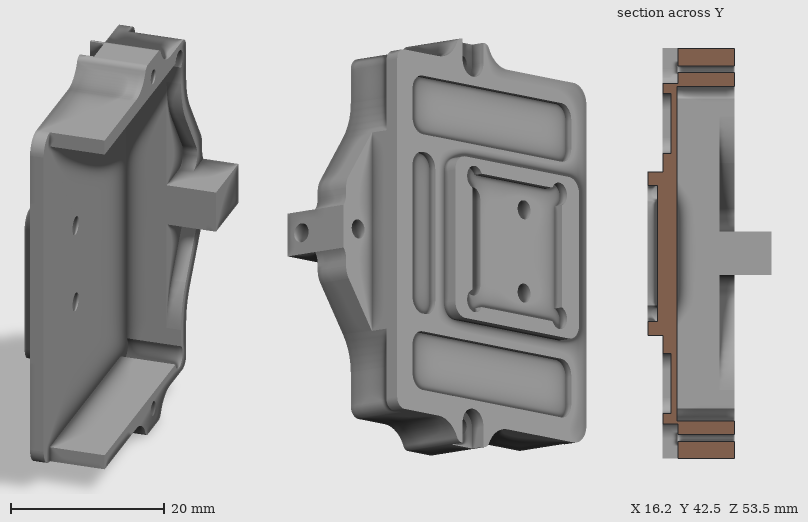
import cadquery as cq
import math


PAD_FRONT = 0
PLATE_FRONT = 2.0
PLATE_BACK = 3.85
TAB_FRONT = 6.4
POCKET_FLOOR = 9.4
BODY_BACK = 11.4
LEG_BACK = 16.2

PLATE_Y_MIN = -22.15
PLATE_Y_MAX = 14.8
PLATE_HALF_Z = 23.8
PLATE_RADIUS_OPEN = 2.5
PLATE_RADIUS_TAB = 1.4

SIDE_WALL = 2.05
END_WALL_OUTER = 13.4
END_WALL = 2.1
END_WALL_INNER = END_WALL_OUTER - END_WALL
WALL_Y_MIN = PLATE_Y_MIN + PLATE_RADIUS_OPEN
CAVITY_HALF_Z = PLATE_HALF_Z - SIDE_WALL
WALL_FILLET = 1.5
CORNER_RELIEF = 3.0
CORNER_RELIEF_INSET_Y = 0.8
CORNER_RELIEF_INSET_Z = 0.3

LUG_TOP = 26.75
LUG_HALF_FLAT = 2.2
LUG_CROWN_RADIUS = 1.0
LUG_FLANK_RADIUS = 4.0
LUG_HOLE_Z = 24.0
LUG_HOLE = 2.0
LUG_SEAT_WIDTH = 4.05
LUG_SEAT_DEPTH = 2.0

FLARE_Z = 17.8
FLARE_RADIUS = 8.3
TAPER_ANGLE = math.radians(35.5)
TAB_Y = 19.85
TAB_CORNER_RADIUS = 2.8
TIP_Y = 20.35
TIP_BLEND_Z = 4.3
LEG_HALF_Z = 2.85
POCKET_FILLET = 1.5
TAB_HOLE = 2.5
TAB_HOLE_Y = 17.5
CROSS_HOLE_DEPTH = 4.8

PAD_Y_MIN = -18.5
PAD_Y_MAX = 5.65
PAD_HALF_Z = 10.7
PAD_RADIUS = 2.0
RECESS_Y_MIN = -15.15
RECESS_Y_MAX = 2.35
RECESS_HALF_Z = 8.85
RECESS_DEPTH = 1.3
RECESS_RELIEF = 3.0
RECESS_RELIEF_INSET_Y = 0.5
RECESS_RELIEF_INSET_Z = 0.65
SLOT_HALF_Z = 7.15
SLOT_WIDTH = 3.0
SLOT_BACK = 3.2
PAD_HOLE = 2.5
PAD_HOLE_Y = -9.2
PAD_HOLE_Z = 5.5

POCKET_DEPTH = 1.0
POCKET_RADIUS = 2.0
POCKET_Y_MIN = -19.2
POCKET_Y_MAX = 11.8
SIDE_POCKET_Y_MIN = 7.4
LONG_POCKET_Z_MIN = 13.05
LONG_POCKET_Z_MAX = 20.8


def block(x_min, x_max, y_min, y_max, z_min, z_max):
    """Box given by its limits along the three axes."""
    box = cq.Workplane().box(x_max - x_min, y_max - y_min, z_max - z_min, centered=False)
    return box.translate((x_min, y_min, z_min))


def rod(diameter, x_min, x_max, y, z):
    """Cylinder along X."""
    return cq.Workplane("YZ", origin=(x_min, y, z)).circle(diameter / 2).extrude(x_max - x_min)


def both_sides(shape):
    """The shape together with its mirror image across Z = 0."""
    return shape.union(shape.mirror("XY"))


def plate():
    slab = block(PLATE_FRONT, PLATE_BACK, PLATE_Y_MIN, PLATE_Y_MAX, -PLATE_HALF_Z, PLATE_HALF_Z)
    slab = slab.edges("|X and <Y").fillet(PLATE_RADIUS_OPEN)
    return slab.edges("|X and >Y").fillet(PLATE_RADIUS_TAB)


def side_walls():
    wall = block(PLATE_BACK, BODY_BACK, WALL_Y_MIN, END_WALL_OUTER, CAVITY_HALF_Z, PLATE_HALF_Z)
    return both_sides(wall.edges("|X and >Y and >Z").fillet(WALL_FILLET))


def lugs():
    """Screw lugs: a flat crown blended into the plate edge by two tangent arcs per flank."""
    radii = LUG_CROWN_RADIUS + LUG_FLANK_RADIUS
    sweep = math.acos(1 - (LUG_TOP - PLATE_HALF_Z) / radii)
    blend_y = LUG_HALF_FLAT + LUG_CROWN_RADIUS * math.sin(sweep)
    blend_z = LUG_TOP - LUG_CROWN_RADIUS * (1 - math.cos(sweep))
    foot_y = LUG_HALF_FLAT + radii * math.sin(sweep)
    half = (
        cq.Workplane("YZ", origin=(PLATE_FRONT, 0, 0))
        .moveTo(0, LUG_TOP)
        .lineTo(LUG_HALF_FLAT, LUG_TOP)
        .tangentArcPoint((blend_y, blend_z), relative=False)
        .tangentArcPoint((foot_y, PLATE_HALF_Z), relative=False)
        .lineTo(foot_y, CAVITY_HALF_Z)
        .lineTo(0, CAVITY_HALF_Z)
        .close()
        .extrude(BODY_BACK - PLATE_FRONT)
    )
    return both_sides(half.union(half.mirror("XZ")))


def lug_cuts():
    seat_back = PLATE_FRONT + LUG_SEAT_DEPTH
    half_width = LUG_SEAT_WIDTH / 2
    seat = rod(LUG_SEAT_WIDTH, PLATE_FRONT, seat_back, 0, LUG_HOLE_Z)
    mouth = block(PLATE_FRONT, seat_back, -half_width, half_width, LUG_HOLE_Z, LUG_TOP)
    hole = rod(LUG_HOLE, PLATE_FRONT, BODY_BACK, 0, LUG_HOLE_Z)
    return both_sides(seat.union(mouth).union(hole))


def flare_and_taper(sketch, inset, corner_radius):
    """Add the flare, the taper and the rounded corner of the tab, moved inwards by inset."""
    flare_radius = FLARE_RADIUS + inset
    rise = 1 - math.cos(TAPER_ANGLE)
    run = math.sin(TAPER_ANGLE)
    flare_start_y = END_WALL_OUTER - inset
    flare_end_y = flare_start_y + flare_radius * rise
    flare_end_z = FLARE_Z - flare_radius * run
    corner_y = TAB_Y - inset - corner_radius * rise
    corner_z = flare_end_z - (corner_y - flare_end_y) / math.tan(TAPER_ANGLE)
    middle = TAPER_ANGLE / 2
    flare_middle = (
        flare_start_y + flare_radius * (1 - math.cos(middle)),
        FLARE_Z - flare_radius * math.sin(middle),
    )
    return (
        sketch.threePointArc(flare_middle, (flare_end_y, flare_end_z))
        .lineTo(corner_y, corner_z)
        .tangentArcPoint((TAB_Y - inset, corner_z - corner_radius * run), relative=False)
    )


def end_wall():
    """End wall with the tapered tab; the tab stands back from the plate."""
    start = (
        cq.Workplane("YZ", origin=(PLATE_BACK, 0, 0))
        .moveTo(END_WALL_INNER, 0)
        .lineTo(END_WALL_INNER, CAVITY_HALF_Z)
        .lineTo(END_WALL_OUTER, CAVITY_HALF_Z)
        .lineTo(END_WALL_OUTER, FLARE_Z)
    )
    half = (
        flare_and_taper(start, 0, TAB_CORNER_RADIUS)
        .lineTo(TAB_Y, TIP_BLEND_Z)
        .tangentArcPoint((TIP_Y, LEG_HALF_Z), relative=False)
        .lineTo(TIP_Y, 0)
        .close()
        .extrude(BODY_BACK - PLATE_BACK)
    )
    step = block(PLATE_BACK, TAB_FRONT, PLATE_Y_MAX, TIP_Y, -PLATE_HALF_Z, PLATE_HALF_Z)
    return both_sides(half).cut(step)


def cavity_corner_reliefs():
    """Round reliefs in the two corners between the end wall and the side walls."""
    y = END_WALL_INNER - CORNER_RELIEF_INSET_Y
    z = CAVITY_HALF_Z - CORNER_RELIEF_INSET_Z
    return both_sides(rod(CORNER_RELIEF, PLATE_BACK, BODY_BACK, y, z))


def tab_pockets():
    """Pockets in the back of the tab, one on each side of the leg and open to the cavity."""
    start = cq.Workplane("YZ", origin=(POCKET_FLOOR, 0, 0)).moveTo(END_WALL_INNER, FLARE_Z)
    floor_y = TAB_Y - END_WALL
    pocket = (
        flare_and_taper(start, END_WALL, POCKET_FILLET)
        .lineTo(floor_y, LEG_HALF_Z + POCKET_FILLET)
        .tangentArcPoint((floor_y - POCKET_FILLET, LEG_HALF_Z), relative=False)
        .lineTo(END_WALL_INNER, LEG_HALF_Z)
        .close()
        .extrude(BODY_BACK - POCKET_FLOOR)
    )
    return both_sides(pocket)


def leg():
    return block(BODY_BACK, LEG_BACK, END_WALL_INNER, TIP_Y, -LEG_HALF_Z, LEG_HALF_Z)


def leg_holes():
    """Hole along X through the tab, meeting a blind cross hole that enters from the tip."""
    cross_x = (BODY_BACK + LEG_BACK) / 2
    hole = rod(TAB_HOLE, TAB_FRONT, cross_x, TAB_HOLE_Y, 0)
    cross_hole = cq.Workplane("XZ", origin=(cross_x, TIP_Y, 0)).circle(TAB_HOLE / 2)
    return hole.union(cross_hole.extrude(CROSS_HOLE_DEPTH))


def pad():
    raised = block(PAD_FRONT, PLATE_FRONT, PAD_Y_MIN, PAD_Y_MAX, -PAD_HALF_Z, PAD_HALF_Z)
    return raised.edges("|X").fillet(PAD_RADIUS)


def pad_cuts():
    """Recess with round corner reliefs, a deeper slot along one side and two through holes."""
    recess_back = PAD_FRONT + RECESS_DEPTH
    cuts = block(PAD_FRONT, recess_back, RECESS_Y_MIN, RECESS_Y_MAX, -RECESS_HALF_Z, RECESS_HALF_Z)
    relief_z = RECESS_HALF_Z - RECESS_RELIEF_INSET_Z
    for y in (RECESS_Y_MIN + RECESS_RELIEF_INSET_Y, RECESS_Y_MAX - RECESS_RELIEF_INSET_Y):
        for z in (-relief_z, relief_z):
            cuts = cuts.union(rod(RECESS_RELIEF, PAD_FRONT, recess_back, y, z))
    slot = (
        cq.Workplane("YZ", origin=(PAD_FRONT, RECESS_Y_MAX - SLOT_WIDTH / 2, 0))
        .slot2D(2 * SLOT_HALF_Z, SLOT_WIDTH, 90)
        .extrude(SLOT_BACK - PAD_FRONT)
    )
    cuts = cuts.union(slot)
    for z in (-PAD_HOLE_Z, PAD_HOLE_Z):
        cuts = cuts.union(rod(PAD_HOLE, PAD_FRONT, PLATE_BACK, PAD_HOLE_Y, z))
    return cuts


def plate_pockets():
    """Two long pockets beside the pad and one short pocket between the pad and the tab."""
    back = PLATE_FRONT + POCKET_DEPTH
    long_pocket = block(
        PLATE_FRONT, back, POCKET_Y_MIN, POCKET_Y_MAX, LONG_POCKET_Z_MIN, LONG_POCKET_Z_MAX
    )
    side_pocket = block(PLATE_FRONT, back, SIDE_POCKET_Y_MIN, POCKET_Y_MAX, -PAD_HALF_Z, PAD_HALF_Z)
    long_pockets = both_sides(long_pocket.edges("|X").fillet(POCKET_RADIUS))
    return long_pockets.union(side_pocket.edges("|X").fillet(POCKET_RADIUS))


housing = plate().union(side_walls()).union(lugs()).union(end_wall()).union(leg()).union(pad())
result = (
    housing.cut(cavity_corner_reliefs())
    .cut(tab_pockets())
    .cut(leg_holes())
    .cut(lug_cuts())
    .cut(pad_cuts())
    .cut(plate_pockets())
)